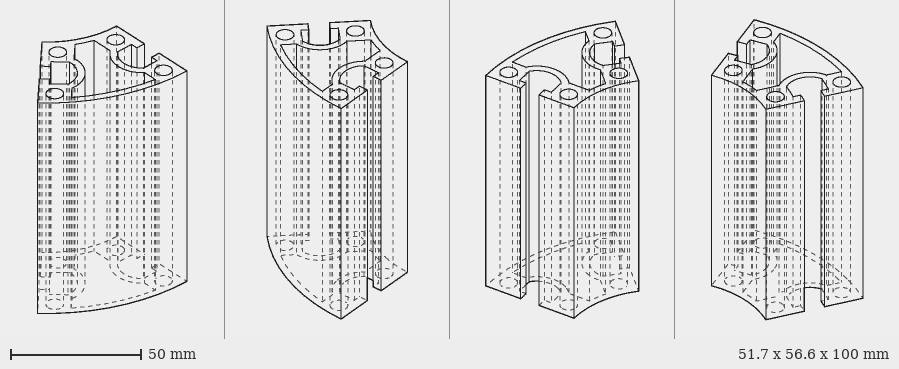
import cadquery as cq
import math

LENGTH = 100.0
SECTOR_ANGLE = 45.0
INNER_RADIUS = 40.0
PROFILE_WIDTH = 40.0
OUTER_RADIUS = INNER_RADIUS + PROFILE_WIDTH
SLOT_RADIUS = INNER_RADIUS + PROFILE_WIDTH / 2

SLOT_OPENING = 8.3
LIP_DEPTH = 4.0
CHAMBER_WIDTH = 14.5
CHAMBER_ARC_DEPTH = 5.0
CHAMBER_ARC_RADIUS = 9.5

HOLE_DIAMETER = 6.8
HOLE_INSET = 6.4

WALL = 3.0
CORNER_BLOCK_DEPTH = 2 * HOLE_INSET
SLOT_WALL_RADIUS = CHAMBER_ARC_RADIUS + WALL


def polar(radius, angle):
    """Point at a radius from the bend axis, with the angle in degrees."""
    return radius * math.cos(math.radians(angle)), radius * math.sin(math.radians(angle))


def sector(inner, outer):
    """Ring sector that starts at the first end face and turns clockwise."""
    return (
        cq.Workplane("XY")
        .moveTo(inner, 0)
        .lineTo(outer, 0)
        .threePointArc(polar(outer, -SECTOR_ANGLE / 2), polar(outer, -SECTOR_ANGLE))
        .lineTo(*polar(inner, -SECTOR_ANGLE))
        .threePointArc(polar(inner, -SECTOR_ANGLE / 2), (inner, 0))
        .close()
        .extrude(LENGTH)
    )


def on_second_face(solid):
    """Mirror a solid built at the first end face onto the second one."""
    turned = solid.mirror("XZ")
    return turned.rotate((0, 0, 0), (0, 0, 1), -SECTOR_ANGLE)


def corner_block():
    """Solid band behind an end face, with the round wall of its slot."""
    band = (
        cq.Workplane("XY")
        .center(SLOT_RADIUS, -CORNER_BLOCK_DEPTH / 2)
        .rect(PROFILE_WIDTH, CORNER_BLOCK_DEPTH)
        .extrude(LENGTH)
    )
    slot_wall = (
        cq.Workplane("XY")
        .center(SLOT_RADIUS, -CHAMBER_ARC_DEPTH)
        .circle(SLOT_WALL_RADIUS)
        .extrude(LENGTH)
    )
    return band.union(slot_wall)


def t_slot():
    """Slot opening and the wider chamber with its round floor."""
    half_opening = SLOT_OPENING / 2
    half_chamber = CHAMBER_WIDTH / 2
    arc_start_depth = CHAMBER_ARC_DEPTH + math.sqrt(CHAMBER_ARC_RADIUS**2 - half_chamber**2)
    floor_depth = CHAMBER_ARC_DEPTH + CHAMBER_ARC_RADIUS
    return (
        cq.Workplane("XY")
        .center(SLOT_RADIUS, 0)
        .moveTo(-half_opening, 0)
        .lineTo(-half_opening, -LIP_DEPTH)
        .lineTo(-half_chamber, -LIP_DEPTH)
        .lineTo(-half_chamber, -arc_start_depth)
        .threePointArc((0, -floor_depth), (half_chamber, -arc_start_depth))
        .lineTo(half_chamber, -LIP_DEPTH)
        .lineTo(half_opening, -LIP_DEPTH)
        .lineTo(half_opening, 0)
        .close()
        .extrude(LENGTH)
    )


def core_holes():
    """Pair of round holes beside the slot."""
    hole_offset = PROFILE_WIDTH / 2 - HOLE_INSET
    return (
        cq.Workplane("XY")
        .center(SLOT_RADIUS, -HOLE_INSET)
        .pushPoints([(-hole_offset, 0), (hole_offset, 0)])
        .circle(HOLE_DIAMETER / 2)
        .extrude(LENGTH)
    )


def hollow_core():
    """Cavity between the curved walls and the two corner blocks."""
    block = corner_block()
    cavity = sector(INNER_RADIUS + WALL, OUTER_RADIUS - WALL)
    return cavity.cut(block).cut(on_second_face(block))


result = sector(INNER_RADIUS, OUTER_RADIUS).cut(hollow_core())
for cutter in (t_slot(), core_holes()):
    result = result.cut(cutter).cut(on_second_face(cutter))